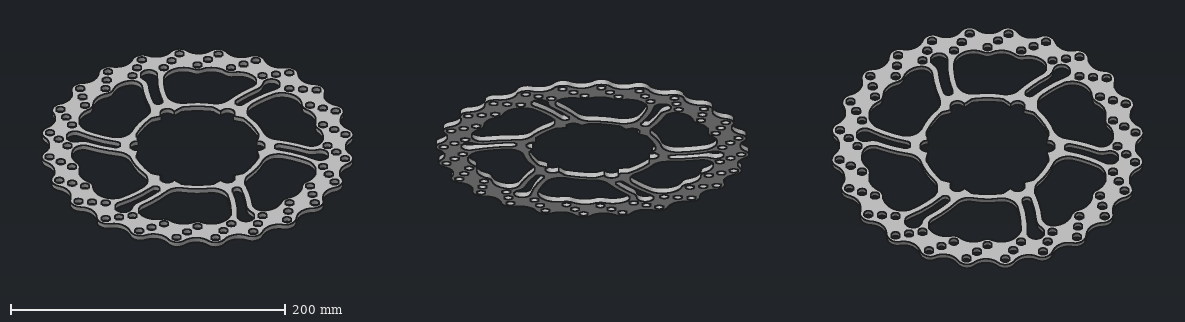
import cadquery as cq
import math

OUTER_SIZE = 227.1
THICKNESS = 4.5

TOOTH_COUNT = 24
SPOKE_COUNT = 6

RIM_LOBE_RADIUS = 8.0
RIM_LOBE_ANGLE = 7.0
RIM_SCALLOP_RADIUS = 12.5

HOLE_RADIUS = 3.2
INNER_HOLE_DISTANCE = 94.7
OUTER_HOLE_DISTANCE = 108.5
OUTER_HOLE_ANGLE = -8.1

SPOKE_CURVE_RADIUS = 90.6
SPOKE_CENTRE = (89.5, 38.8)
SLOT_WIDTH = 6.5
SPOKE_WALL = 4.8

SLOT_END_Y = 59.5
BULB_RADIUS = 6.1
BULB_Y = 89.3
BULB_FILLET = 11.4

WINDOW_INNER_RADIUS = 50.9
WINDOW_OUTER_RADIUS = 92.2
WINDOW_LOBE_RADIUS = 7.3
WINDOW_SCALLOP_RADIUS = 14.5
INNER_CORNER_RADIUS = 12.0
OUTER_CORNER_RADIUS = 8.0

BORE_RADIUS = 46.0
BORE_ARC_RADIUS = 65.0
NOTCH_BOTTOM_DISTANCE = 49.0
PAD_FILLET = 4.3
PAD_FILLET_ANGLE = 17.2
PAD_TILT = 12.0
PAD_HALF_GAP = 5.2


def polar(distance, angle):
    a = math.radians(angle)
    return (distance * math.cos(a), distance * math.sin(a))


def rotated(point, angle):
    a = math.radians(angle)
    x, y = point
    return (x * math.cos(a) - y * math.sin(a), x * math.sin(a) + y * math.cos(a))


def shared_tangent_circle(first, second, radius):
    """Circle tangent to two (centre, radius) circles, its centre left of the line from first to second.

    Signed radii: positive where the outline bulges outwards, negative where it is hollow.
    """
    (x1, y1), r1 = first
    (x2, y2), r2 = second
    reach_1 = abs(r1 - radius)
    reach_2 = abs(r2 - radius)
    span = math.hypot(x2 - x1, y2 - y1)
    along = (span**2 + reach_1**2 - reach_2**2) / (2 * span)
    aside = math.sqrt(reach_1**2 - along**2)
    ux, uy = (x2 - x1) / span, (y2 - y1) / span
    return ((x1 + along * ux - aside * uy, y1 + along * uy + aside * ux), radius)


def touch_point(first, second):
    """Point where two tangent circles with signed radii meet."""
    (x1, y1), r1 = first
    (x2, y2), r2 = second
    t = r1 / (r1 - r2)
    return (x1 + t * (x2 - x1), y1 + t * (y2 - y1))


def arc_middle(circle, start, end):
    """Middle of the arc from start to end: anticlockwise if the radius is positive, else clockwise."""
    (cx, cy), radius = circle
    start_angle = math.atan2(start[1] - cy, start[0] - cx)
    end_angle = math.atan2(end[1] - cy, end[0] - cx)
    turn = math.copysign(1, radius)
    sweep = turn * ((turn * (end_angle - start_angle)) % (2 * math.pi))
    middle = start_angle + sweep / 2
    return (cx + abs(radius) * math.cos(middle), cy + abs(radius) * math.sin(middle))


def tangent_outline(circles):
    """Prism whose anticlockwise outline runs smoothly along the given circles in turn."""
    joints = [touch_point(circles[i - 1], circles[i]) for i in range(len(circles))]
    outline = cq.Workplane("XY").moveTo(*joints[0])
    for i, circle in enumerate(circles):
        end = joints[(i + 1) % len(circles)]
        outline = outline.threePointArc(arc_middle(circle, joints[i], end), end)
    return outline.close().extrude(THICKNESS)


TOOTH_PITCH = 360 / TOOTH_COUNT
SPOKE_PITCH = 360 / SPOKE_COUNT
SLOT_HALF = SLOT_WIDTH / 2
SPOKE_HALF = SLOT_HALF + SPOKE_WALL
RIM_LOBE_DISTANCE = (OUTER_SIZE / 2 - RIM_LOBE_RADIUS) / math.cos(math.radians(RIM_LOBE_ANGLE))


def spoke_point(radius, y):
    """Point at height y on a circle about the spoke's centre of curvature, on the spoke's side."""
    centre_x, centre_y = SPOKE_CENTRE
    return (centre_x - math.sqrt(radius**2 - (y - centre_y)**2), y)


def make_disc():
    lobes = [(polar(RIM_LOBE_DISTANCE, RIM_LOBE_ANGLE + i * TOOTH_PITCH), RIM_LOBE_RADIUS)
             for i in range(TOOTH_COUNT)]
    circles = []
    for i, lobe in enumerate(lobes):
        next_lobe = lobes[(i + 1) % TOOTH_COUNT]
        circles += [lobe, shared_tangent_circle(next_lobe, lobe, -RIM_SCALLOP_RADIUS)]
    return tangent_outline(circles)


def make_holes():
    inner = (INNER_HOLE_DISTANCE, 0)
    outer = polar(OUTER_HOLE_DISTANCE, OUTER_HOLE_ANGLE)
    middle = ((inner[0] + outer[0]) / 2, (inner[1] + outer[1]) / 2)
    points = [rotated(hole, i * TOOTH_PITCH) for i in range(TOOTH_COUNT) for hole in (inner, middle, outer)]
    return cq.Workplane("XY").pushPoints(points).circle(HOLE_RADIUS).extrude(THICKNESS)


def make_slot():
    concave_side = (SPOKE_CENTRE, SLOT_HALF - SPOKE_CURVE_RADIUS)
    convex_side = (SPOKE_CENTRE, SPOKE_CURVE_RADIUS + SLOT_HALF)
    end = (spoke_point(SPOKE_CURVE_RADIUS, SLOT_END_Y), SLOT_HALF)
    bulb_reach = SPOKE_CURVE_RADIUS - SLOT_HALF + BULB_RADIUS
    bulb = (spoke_point(bulb_reach, BULB_Y), BULB_RADIUS)
    fillet = shared_tangent_circle(convex_side, bulb, -BULB_FILLET)
    return tangent_outline([end, concave_side, bulb, fillet, convex_side])


def make_window():
    """Window between the spokes at 30 and 90 degrees."""
    inner_rim = ((0, 0), -WINDOW_INNER_RADIUS)
    left_wall = (SPOKE_CENTRE, SPOKE_CURVE_RADIUS - SPOKE_HALF)
    right_wall = (rotated(SPOKE_CENTRE, -SPOKE_PITCH), -(SPOKE_CURVE_RADIUS + SPOKE_HALF))
    scallop_distance = WINDOW_OUTER_RADIUS - WINDOW_SCALLOP_RADIUS
    right_scallop, middle_scallop, left_scallop = [
        (polar(scallop_distance, (i + 0.5) * TOOTH_PITCH), WINDOW_SCALLOP_RADIUS) for i in (2, 3, 4)
    ]
    return tangent_outline([
        inner_rim,
        shared_tangent_circle(inner_rim, right_wall, INNER_CORNER_RADIUS),
        right_wall,
        shared_tangent_circle(right_scallop, right_wall, OUTER_CORNER_RADIUS),
        right_scallop,
        shared_tangent_circle(middle_scallop, right_scallop, -WINDOW_LOBE_RADIUS),
        middle_scallop,
        shared_tangent_circle(left_scallop, middle_scallop, -WINDOW_LOBE_RADIUS),
        left_scallop,
        shared_tangent_circle(left_scallop, left_wall, OUTER_CORNER_RADIUS),
        left_wall,
        shared_tangent_circle(inner_rim, left_wall, INNER_CORNER_RADIUS),
    ])


def make_bore():
    """Bore outline: notch, pad face, fillet, shallow arc, fillet and pad face, repeated for every spoke."""
    arc_offset = BORE_ARC_RADIUS - BORE_RADIUS
    fillet_reach = BORE_ARC_RADIUS - PAD_FILLET
    off_axis = math.radians(SPOKE_PITCH / 2 - PAD_FILLET_ANGLE)
    fillet_distance = (math.sqrt(fillet_reach**2 - (arc_offset * math.sin(off_axis))**2)
                       - arc_offset * math.cos(off_axis))

    fillet = (polar(fillet_distance, PAD_FILLET_ANGLE), PAD_FILLET)
    bore_arc = (polar(-arc_offset, SPOKE_PITCH / 2), BORE_ARC_RADIUS)
    to_face_x, to_face_y = polar(PAD_FILLET, -PAD_TILT)
    face_end = (fillet[0][0] + to_face_x, fillet[0][1] + to_face_y)
    face_rise = math.tan(math.radians(PAD_TILT))
    corner = (face_end[0] - (face_end[1] - PAD_HALF_GAP) * face_rise, PAD_HALF_GAP)
    fillet_end = touch_point(fillet, bore_arc)
    fillet_middle = arc_middle(fillet, face_end, fillet_end)

    def facing(point):
        """The matching point on the far side of the same bore arc."""
        return rotated((point[0], -point[1]), SPOKE_PITCH)

    outline = cq.Workplane("XY").moveTo(*rotated((corner[0], -corner[1]), SPOKE_PITCH / 2))
    for i in range(SPOKE_COUNT):
        turn = (i + 0.5) * SPOKE_PITCH
        outline = (
            outline
            .threePointArc(polar(NOTCH_BOTTOM_DISTANCE, turn), rotated(corner, turn))
            .lineTo(*rotated(face_end, turn))
            .threePointArc(rotated(fillet_middle, turn), rotated(fillet_end, turn))
            .threePointArc(polar(BORE_RADIUS, turn + SPOKE_PITCH / 2), rotated(facing(fillet_end), turn))
            .threePointArc(rotated(facing(fillet_middle), turn), rotated(facing(face_end), turn))
            .lineTo(*rotated(facing(corner), turn))
        )
    return outline.close().extrude(THICKNESS)


result = make_disc().cut(make_bore()).cut(make_holes())
for spoke in range(SPOKE_COUNT):
    angle = spoke * SPOKE_PITCH
    for cutter in (make_window(), make_slot()):
        result = result.cut(cutter.rotate((0, 0, 0), (0, 0, 1), angle))